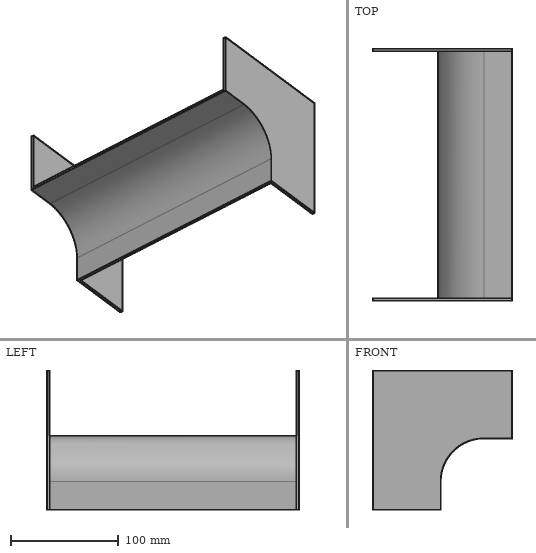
import cadquery as cq

flange_size = 130.0
total_length = 235.4
sheet = 2.6
flange_overhang = 60.8
inner_radius = 40.0

outer_radius = inner_radius + sheet
wall_length = total_length - 2 * sheet
hollow_setback = flange_overhang + sheet


def corner_bar(setback, bend_radius, length):
    """Bar along Y filling the +X, -Z corner of the flange square, with its opposite edge rounded.

    `setback` is the distance of the bar from the -X and +Z edges of the square.
    The bar is centred on Y = 0.
    """
    top = flange_size - setback
    return (
        cq.Workplane("XZ", origin=(0, length / 2, 0))
        .moveTo(flange_size, 0)
        .lineTo(flange_size, top)
        .lineTo(setback + bend_radius, top)
        .radiusArc((setback, top - bend_radius), -bend_radius)
        .lineTo(setback, 0)
        .close()
        .extrude(length)
    )


def end_flange(start_y):
    """Square plate, one sheet thick, reaching from start_y towards +Y."""
    return cq.Workplane("XY", origin=(0, start_y, 0)).box(
        flange_size, sheet, flange_size, centered=False
    )


result = corner_bar(flange_overhang, outer_radius, wall_length)
for start_y in (-total_length / 2, wall_length / 2):
    result = result.union(end_flange(start_y))

result = result.cut(corner_bar(hollow_setback, inner_radius, total_length))